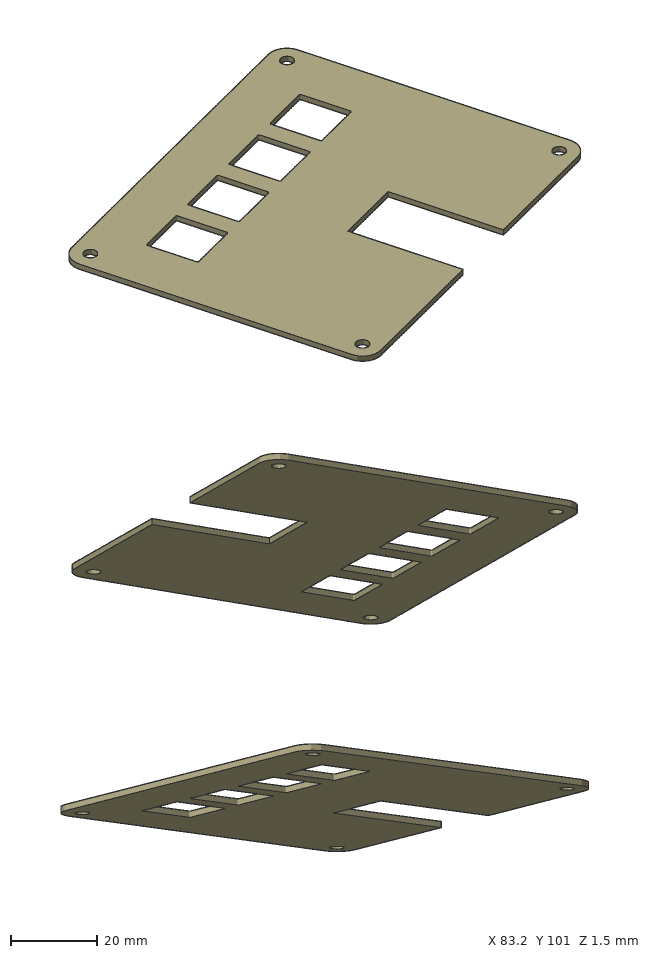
import cadquery as cq

plate_width = 83.19
plate_length = 101.0
plate_thickness = 1.5
corner_radius = 5.0

screw_hole_diameter = 3.4
screw_hole_inset = corner_radius

switch_count = 4
switch_size = 13.9
switch_corner_radius = 0.3
switch_pitch = 19.05
switch_column_x = 21.45
lowest_switch_y = 21.5

notch_depth = 31.0
notch_height = 18.6
notch_bottom_y = 43.0


def rounded_block(width, length, radius, center):
    """Block of plate thickness with rounded vertical edges."""
    return (
        cq.Workplane("XY")
        .center(*center)
        .rect(width, length)
        .extrude(plate_thickness)
        .edges("|Z")
        .fillet(radius)
    )


def make_plate():
    plate_center = (plate_width / 2, plate_length / 2)
    return rounded_block(plate_width, plate_length, corner_radius, plate_center)


def drill_screw_holes(body):
    hole_centers = [
        (x, y)
        for x in (screw_hole_inset, plate_width - screw_hole_inset)
        for y in (screw_hole_inset, plate_length - screw_hole_inset)
    ]
    holes = (
        cq.Workplane("XY")
        .pushPoints(hole_centers)
        .circle(screw_hole_diameter / 2)
        .extrude(plate_thickness)
    )
    return body.cut(holes)


def cut_switch_openings(body):
    for index in range(switch_count):
        center = (switch_column_x, lowest_switch_y + index * switch_pitch)
        opening = rounded_block(switch_size, switch_size, switch_corner_radius, center)
        body = body.cut(opening)
    return body


def cut_side_notch(body):
    notch = (
        cq.Workplane("XY")
        .box(notch_depth, notch_height, plate_thickness, centered=False)
        .translate((plate_width - notch_depth, notch_bottom_y, 0))
    )
    return body.cut(notch)


result = make_plate()
result = drill_screw_holes(result)
result = cut_switch_openings(result)
result = cut_side_notch(result)